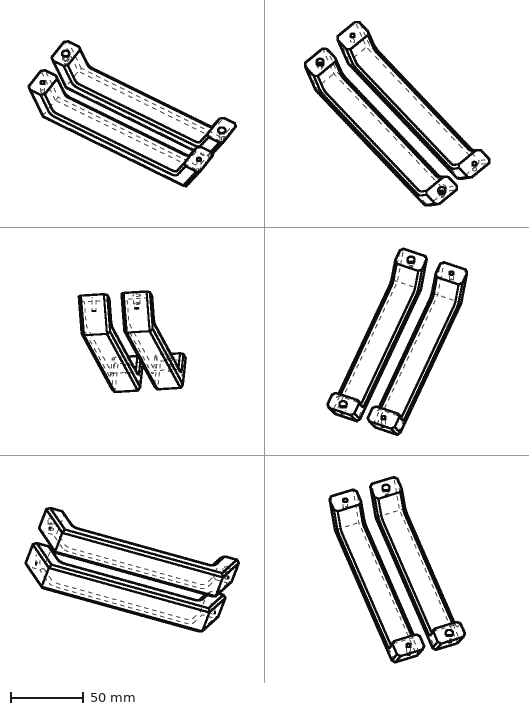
import cadquery as cq
import math

LENGTH = 140
HEIGHT = 25.0
WIDTH = 20.0
PAIR_DEPTH = 50.0

LEG_ANGLE = 25
FOOT_LENGTH = 13.2
BAR_THICKNESS = 10.1
INNER_RADIUS = 4.0
CHAMFER = 2.0

HOLE_INSET = 6.5
PILOT_DIAMETER = 2.8
PILOT_DEPTH = 10.0
SOCKET_MOUTH_DIAMETER = 5.0
SOCKET_FLOOR_DIAMETER = 4.3
SOCKET_DEPTH = 6.0

hole_centres = [(side * (LENGTH / 2 - HOLE_INSET), 0) for side in (-1, 1)]


def handle_blank(centre_y):
    """Flared U-shaped handle, centred on X, with its base at Z = 0."""
    lean = math.tan(math.radians(LEG_ANGLE))
    outer_top = LENGTH / 2
    outer_bottom = outer_top - HEIGHT * lean
    inner_top = outer_top - FOOT_LENGTH
    inner_bottom = inner_top - (HEIGHT - BAR_THICKNESS) * lean
    blank = (
        cq.Workplane("XZ", origin=(0, centre_y, 0))
        .polyline([
            (-outer_top, HEIGHT),
            (-outer_bottom, 0),
            (outer_bottom, 0),
            (outer_top, HEIGHT),
            (inner_top, HEIGHT),
            (inner_bottom, BAR_THICKNESS),
            (-inner_bottom, BAR_THICKNESS),
            (-inner_top, HEIGHT),
        ])
        .close()
        .extrude(WIDTH / 2, both=True)
    )
    inner_corners = cq.selectors.BoxSelector(
        (-inner_bottom - CHAMFER, centre_y - WIDTH, BAR_THICKNESS - CHAMFER),
        (inner_bottom + CHAMFER, centre_y + WIDTH, BAR_THICKNESS + CHAMFER),
    )
    return blank.edges("|Y").edges(inner_corners).fillet(INNER_RADIUS)


def chamfer_long_sides(handle):
    """Bevel every edge of both long sides, leaving the foot faces flat."""
    foot_edges = cq.selectors.BoxSelector(
        (-LENGTH, -PAIR_DEPTH, HEIGHT - CHAMFER),
        (LENGTH, PAIR_DEPTH, HEIGHT + CHAMFER),
    )
    side_edges = handle.faces("<Y or >Y").edges()
    return side_edges.edges(cq.selectors.InverseSelector(foot_edges)).chamfer(CHAMFER)


def drill_feet(handle, centre_y, mouth_diameter, floor_diameter, depth):
    """Sink a round, flat-bottomed hole into the top of each foot, tapered if the diameters differ."""
    taper = math.degrees(math.atan((mouth_diameter - floor_diameter) / 2 / depth))
    holes = (
        cq.Workplane("XY", origin=(0, centre_y, HEIGHT))
        .pushPoints(hole_centres)
        .circle(mouth_diameter / 2)
        .extrude(-depth, taper=taper)
    )
    return handle.cut(holes)


def drill_pilots(handle, centre_y):
    return drill_feet(handle, centre_y, PILOT_DIAMETER, PILOT_DIAMETER, PILOT_DEPTH)


def chamfered_handle(centre_y):
    return chamfer_long_sides(handle_blank(centre_y))


def plain_hole_handle():
    centre_y = -(PAIR_DEPTH - WIDTH) / 2
    return drill_pilots(chamfered_handle(centre_y), centre_y)


def tapered_socket_handle():
    centre_y = (PAIR_DEPTH - WIDTH) / 2
    handle = drill_pilots(chamfered_handle(centre_y), centre_y)
    return drill_feet(handle, centre_y, SOCKET_MOUTH_DIAMETER, SOCKET_FLOOR_DIAMETER, SOCKET_DEPTH)


front_handle = plain_hole_handle()
back_handle = tapered_socket_handle()

result = cq.Compound.makeCompound([front_handle.val(), back_handle.val()])